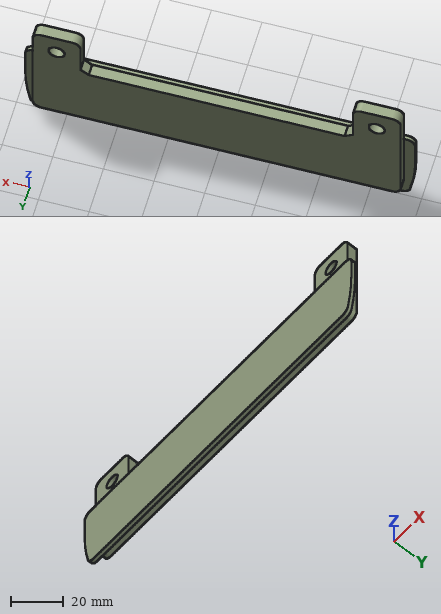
import cadquery as cq
import math

plate_length = 154.0
plate_height = 37.0
plate_thickness = 1.8
straight_side_height = 15.7
side_arc_radius = 89.3

total_height = 56.8
backing_thickness = 4.8
backing_inset = 4.3
backing_bottom = 5.7
bar_drop = 0.2
bar_top = plate_height - bar_drop
tab_width = 19.0
gusset_width = 3.2
gusset_height = 2.3
hole_diameter = 6.3
hole_drop = tab_width / 2

corner_radius = 3.4

half_length = plate_length / 2
backing_half_length = half_length - backing_inset
tab_inner_x = backing_half_length - tab_width


def make_plate():
    """Plate with straight upper sides that sweep inward along tangent arcs."""
    arc_height = plate_height - straight_side_height

    def side_x(depth):
        """Half length of the plate at a depth below the start of the side arc."""
        return half_length - side_arc_radius + math.sqrt(side_arc_radius**2 - depth**2)

    bottom_half = side_x(arc_height)
    middle_half = side_x(arc_height / 2)
    middle_z = arc_height / 2
    return (
        cq.Workplane("XZ")
        .moveTo(-half_length, plate_height)
        .lineTo(half_length, plate_height)
        .lineTo(half_length, arc_height)
        .threePointArc((middle_half, middle_z), (bottom_half, 0))
        .lineTo(-bottom_half, 0)
        .threePointArc((-middle_half, middle_z), (-half_length, arc_height))
        .close()
        .extrude(plate_thickness)
        .edges("|Y and (>Z or <Z)")
        .fillet(corner_radius)
    )


def make_backing():
    """Bar with a tab at each end, sloped gussets and rounded outer corners."""
    right_side = [
        (backing_half_length, backing_bottom),
        (backing_half_length, total_height),
        (tab_inner_x, total_height),
        (tab_inner_x, bar_top + gusset_height),
        (tab_inner_x - gusset_width, bar_top),
    ]
    left_side = [(-x, z) for x, z in reversed(right_side)]
    hole_x = backing_half_length - tab_width / 2
    hole_z = total_height - hole_drop
    backing = (
        cq.Workplane("XZ")
        .polyline(right_side + left_side)
        .close()
        .extrude(-backing_thickness)
        .edges("|Y and (>Z or <Z)")
        .fillet(corner_radius)
    )
    holes = (
        cq.Workplane("XZ")
        .pushPoints([(-hole_x, hole_z), (hole_x, hole_z)])
        .circle(hole_diameter / 2)
        .extrude(-backing_thickness)
    )
    return backing.cut(holes)


result = make_plate().union(make_backing())